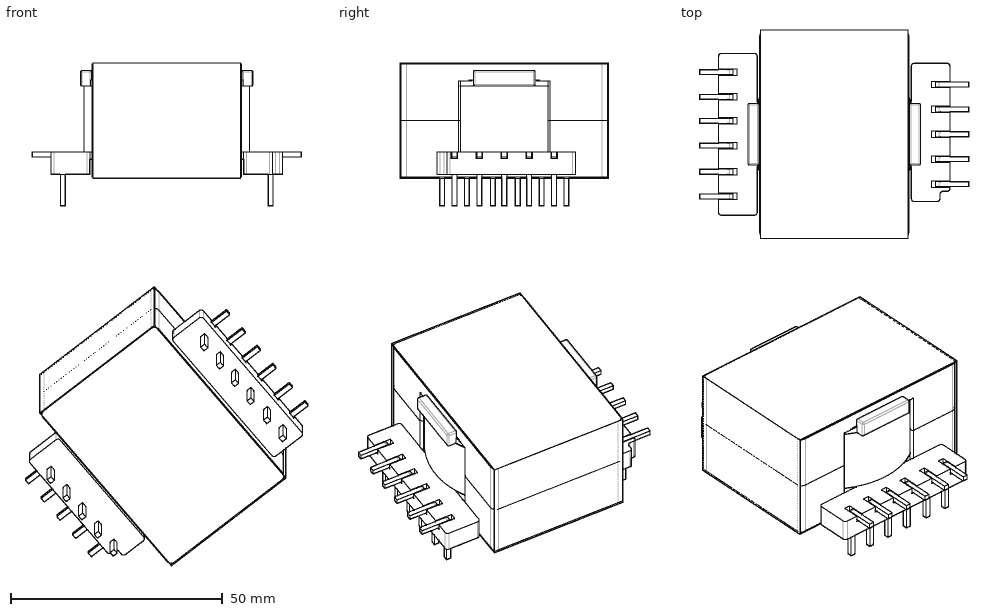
import cadquery as cq
import math


overall_length = 63.5
tape_depth = 49.3
tape_height = 27.25
tape_width = 34.8
tape_thickness = 0.25

core_width = 35.2
core_corner_radius = 1.35
post_radius = 8.9
bore_radius = 19.8
cavity_height = 18.6
window_throat = 20.7
window_mouth = 21.6

tube_wall = 1.0
winding_radius = 19.55
winding_bottom = 6.2
winding_top = 21.7
lower_flange_radius = 19.7
lower_flange_bottom = 4.45
upper_flange_radius = 19.45
upper_flange_top = 23.25

bar_length = 14.6
bar_inner_x = 17.7
bar_outer_x = 20.3
bar_top = 25.5
bar_fillet = 0.4

base_inner_x = 18.2
base_outer_x = 27.3
base_bottom = 0.95
base_top = winding_bottom
base_corner_radius = 0.7
wide_base_half_length = 19.1
narrow_base_back_y = 16.8
narrow_base_front_y = -15.9
key_notch_x = 24.95
key_notch_y = -13.5

pin_size = 1.2
pin_tail = 6.5
pin_leg_x = 24.5
pin_bend_radius = 0.8
slot_size = 1.5
slot_inner_x = 23.0
outer_group_y = 11.75
middle_group_y = 0.25
pair_pitch = 5.85

pin_tip_x = overall_length / 2
core_depth = tape_depth - 2 * tape_thickness
core_bottom = tape_thickness
core_top = tape_height - tape_thickness
parting_z = tape_height / 2
cavity_bottom = parting_z - cavity_height / 2
tube_radius = post_radius + tube_wall

wide_base_pins = [
    group_y + side * pair_pitch / 2
    for group_y in (outer_group_y, middle_group_y, -outer_group_y)
    for side in (1, -1)
]
narrow_base_pins = [step * outer_group_y / 2 for step in range(-2, 3)]


def box(x_range, y_range, z_range):
    """Box spanning the given (low, high) limits."""
    spans = [high - low for low, high in (x_range, y_range, z_range)]
    corner = (x_range[0], y_range[0], z_range[0])
    return cq.Workplane("XY").box(*spans, centered=False).translate(corner)


def disc(radius, bottom, top):
    """Upright cylinder on the central axis."""
    return cq.Workplane("XY").workplane(offset=bottom).circle(radius).extrude(top - bottom)


def ring(outer_radius, inner_radius, bottom, top):
    """Upright cylinder with a bore."""
    return disc(outer_radius, bottom, top).cut(disc(inner_radius, bottom, top))


def winding_cavity():
    """Ring-shaped space around the post, open through flared windows on both X sides."""
    cavity_top = cavity_bottom + cavity_height
    throat_y = window_throat / 2
    mouth_y = window_mouth / 2
    throat_x = math.sqrt(bore_radius**2 - throat_y**2)
    face_x = core_width / 2
    windows = (
        cq.Workplane("XY")
        .workplane(offset=cavity_bottom)
        .polyline([
            (-face_x, mouth_y), (-throat_x, throat_y), (throat_x, throat_y), (face_x, mouth_y),
            (face_x, -mouth_y), (throat_x, -throat_y), (-throat_x, -throat_y), (-face_x, -mouth_y),
        ])
        .close()
        .extrude(cavity_height)
    )
    bore = disc(bore_radius, cavity_bottom, cavity_top)
    return bore.union(windows).cut(disc(post_radius, cavity_bottom, cavity_top))


def core_half(bottom, top):
    """Rounded block between two heights, hollowed by its share of the cavity."""
    block = (
        cq.Workplane("XY")
        .workplane(offset=bottom)
        .rect(core_width, core_depth)
        .extrude(top - bottom)
        .edges("|Z")
        .fillet(core_corner_radius)
    )
    return block.cut(winding_cavity())


def tape_band():
    half_width = tape_width / 2
    half_depth = tape_depth / 2
    half_core = core_depth / 2
    x_range = (-half_width, half_width)
    outside = box(x_range, (-half_depth, half_depth), (0, tape_height))
    return outside.cut(box(x_range, (-half_core, half_core), (core_bottom, core_top)))


def spool():
    """Tube with a flange at each end of the winding."""
    tube = ring(tube_radius, post_radius, lower_flange_bottom, upper_flange_top)
    lower = ring(lower_flange_radius, post_radius, lower_flange_bottom, winding_bottom)
    upper = ring(upper_flange_radius, post_radius, winding_top, upper_flange_top)
    return tube.union(lower).union(upper)


def top_bar():
    """Rounded bar standing on the +X edge of the upper flange."""
    bar = box((bar_inner_x, bar_outer_x), (-bar_length / 2, bar_length / 2), (winding_top, bar_top))
    return bar.edges("|Z or >Z or (<Z and >X)").fillet(bar_fillet)


def pin(y):
    """Square wire on the +X side: a flat lead and a leg, with a rounded outer bend."""
    half = pin_size / 2
    leg_inner_x = pin_leg_x - half
    leg_outer_x = pin_leg_x + half
    lead_bottom = base_top - pin_size
    return (
        cq.Workplane("XZ", origin=(0, y, 0))
        .moveTo(leg_inner_x, -pin_tail)
        .lineTo(leg_inner_x, base_top - pin_bend_radius)
        .radiusArc((leg_inner_x + pin_bend_radius, base_top), pin_bend_radius)
        .lineTo(pin_tip_x, base_top)
        .lineTo(pin_tip_x, lead_bottom)
        .lineTo(leg_outer_x, lead_bottom)
        .lineTo(leg_outer_x, -pin_tail)
        .close()
        .extrude(half, both=True)
    )


def fit_pins(base, pin_rows):
    """Cut an open slot for each pin in a +X base and set the pin in it."""
    for y in pin_rows:
        slot = box(
            (slot_inner_x, base_outer_x),
            (y - slot_size / 2, y + slot_size / 2),
            (base_top - slot_size, base_top),
        )
        base = base.cut(slot).union(pin(y))
    return base


def wide_base():
    """Terminal base on the -X side, made on the +X side and mirrored."""
    half = wide_base_half_length
    base = box((base_inner_x, base_outer_x), (-half, half), (base_bottom, base_top))
    base = base.edges("|Z").fillet(base_corner_radius)
    return fit_pins(base, wide_base_pins).mirror("YZ")


def narrow_base():
    """Terminal base on the +X side, with a key notch at its outer -Y corner."""
    base = box(
        (base_inner_x, base_outer_x),
        (narrow_base_front_y, narrow_base_back_y),
        (base_bottom, base_top),
    )
    notch = box(
        (key_notch_x, base_outer_x),
        (narrow_base_front_y, key_notch_y),
        (base_bottom, base_top),
    )
    base = base.cut(notch).edges("|Z").fillet(base_corner_radius)
    return fit_pins(base, narrow_base_pins)


def whole_bobbin(core_halves):
    """Join the bobbin features and trim the upper flange to the inside of the core."""
    parts = [top_bar(), top_bar().mirror("YZ"), wide_base(), narrow_base()]
    bobbin = spool()
    for part in parts:
        bobbin = bobbin.union(part)
    for half in core_halves:
        bobbin = bobbin.cut(half)
    return bobbin


lower_core = core_half(core_bottom, parting_z)
upper_core = core_half(parting_z, core_top)
tape = tape_band()
winding = ring(winding_radius, tube_radius, winding_bottom, winding_top)
bobbin = whole_bobbin([lower_core, upper_core])

bodies = [lower_core, upper_core, tape, winding, bobbin]
result = cq.Compound.makeCompound([body.solids().val() for body in bodies])